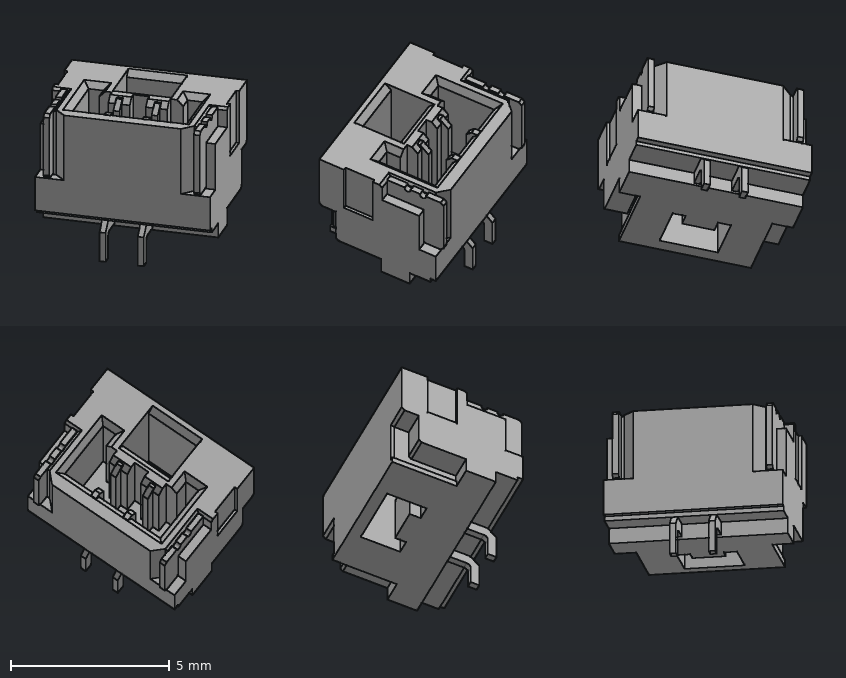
import cadquery as cq
import math


width = 5.75
depth = 4.25
height = 4.04
half_width = width / 2
edge_chamfer = 0.105
rim_chamfer = 0.2

lip_depth = 0.195
lip_bottom = 0.65
contact_recess_depth = 0.955
contact_recess_top = 0.5
foot_back = 1.995
flank_bottom = 0.585
flank_back = 3.645
flank_corner = 0.09
overhang_bottom = 1.9
core_half_width = 2.13
core_corner_width = 0.05
core_base_half_width = 2.185
core_base_height = 0.24

cavity_half_width = 2.07
cavity_front = 0.41
cavity_back = 2.845
cavity_floor = 1.0
divider_half_width = 1.18
divider_front = 2.15

window_half_width = 0.965
window_front = 2.26
window_back = 4.065
window_back_chamfer = 0.225
catch_half_width = 0.535
catch_back = 2.845
catch_top = overhang_bottom

contact_pitch = 1.255
contact_width = 0.2
post_inner = 0.265
post_front = 1.76
blade_front = 1.5
blade_back = 1.915
blade_ridge = 1.81
blade_drop = 0.29
prong_back = 0.85
prong_ridge = 0.66
prong_sink = 0.03
metal_front = -0.105
leg_thickness = 0.305
leg_bend_chamfer = 0.305
leg_bend_radius = 0.155
leg_underside = 0.085
leg_tip = -0.805

pocket_inner = 2.37
pocket_back = 1.955
pocket_floor = 1.8
pocket_lead_in_depth = 0.08
pocket_front_wall = 0.345
guard_front = 0.61
guard_top = 3.38
corner_inset = 1.92
plate_thickness = 0.2
plate_bottom = 1.845
notch_radius = 0.105
notch_sink = 0.03
notch_places = (1.21, 0.65)

side_recess_front = 2.3
side_recess_back = 3.345
side_recess_bottom = 2.255
side_recess_depth = 0.105


def box(x_range, y_range, z_range):
    """Axis-aligned block between the given limits."""
    spans = [high - low for low, high in (x_range, y_range, z_range)]
    corner = (x_range[0], y_range[0], z_range[0])
    return cq.Workplane("XY").box(*spans, centered=False).translate(corner)


def side_profile(points, x_middle, thickness):
    """Closed Y-Z outline extruded along X, centred on x_middle."""
    outline = cq.Workplane("YZ").polyline(points).close()
    return outline.extrude(thickness / 2, both=True).translate((x_middle, 0, 0))


def lead_in(x_range, y_range, slope_width, slope_depth):
    """Recess in the top face with sloping sides; the ranges give its outline at the top."""
    x_span = x_range[1] - x_range[0]
    y_span = y_range[1] - y_range[0]
    middle = (sum(x_range) / 2, sum(y_range) / 2, height)
    slope = math.degrees(math.atan2(slope_width, slope_depth))
    return cq.Workplane("XY").rect(x_span, y_span).extrude(-slope_depth, taper=slope).translate(middle)


def both_sides(solid):
    """The solid together with its mirror image across X = 0."""
    return solid.union(solid.mirror("YZ"))


def make_housing():
    shell = side_profile(
        [
            (0, height),
            (0, lip_bottom),
            (lip_depth, lip_bottom),
            (lip_depth, contact_recess_top),
            (contact_recess_depth, contact_recess_top),
            (contact_recess_depth, 0),
            (foot_back, 0),
            (foot_back, flank_bottom),
            (flank_back - flank_corner, flank_bottom),
            (flank_back, flank_bottom + flank_corner),
            (flank_back, overhang_bottom),
            (depth - edge_chamfer, overhang_bottom),
            (depth, overhang_bottom + edge_chamfer),
            (depth, height),
        ],
        0,
        width,
    )
    core_y = (foot_back, depth)
    base = box((-core_base_half_width, core_base_half_width), core_y, (0, core_base_height))
    corner_start = depth - edge_chamfer
    rear_half_width = core_half_width - core_corner_width
    core = (
        cq.Workplane("XY")
        .polyline(
            [
                (-core_half_width, foot_back),
                (core_half_width, foot_back),
                (core_half_width, corner_start),
                (rear_half_width, depth),
                (-rear_half_width, depth),
                (-core_half_width, corner_start),
            ]
        )
        .close()
        .extrude(overhang_bottom + edge_chamfer)
    )
    return shell.union(base).union(core)


def make_cavity():
    """Rectangular cavity with a lead-in, less the divider between its two rear arms."""
    mouth = lead_in(
        (-cavity_half_width, cavity_half_width),
        (cavity_front, cavity_back),
        rim_chamfer,
        rim_chamfer,
    )
    inner_half_width = cavity_half_width - rim_chamfer
    shaft = box(
        (-inner_half_width, inner_half_width),
        (cavity_front + rim_chamfer, cavity_back - rim_chamfer),
        (cavity_floor, height),
    )
    divider_base = divider_half_width + rim_chamfer
    divider_shoulder = height - rim_chamfer
    divider = (
        cq.Workplane("XZ")
        .polyline(
            [
                (-divider_half_width, height),
                (-divider_base, divider_shoulder),
                (-divider_base, cavity_floor),
                (divider_base, cavity_floor),
                (divider_base, divider_shoulder),
                (divider_half_width, height),
            ]
        )
        .close()
        .extrude(divider_front - cavity_back)
        .translate((0, divider_front, 0))
    )
    return mouth.union(shaft).cut(divider)


def make_window():
    throat_front = window_front + rim_chamfer
    throat_back = window_back - window_back_chamfer
    return side_profile(
        [
            (window_front, height),
            (throat_front, height - rim_chamfer),
            (throat_front, 0),
            (throat_back, 0),
            (throat_back, height - rim_chamfer),
            (window_back, height),
        ],
        0,
        2 * window_half_width,
    )


def make_catch():
    return box(
        (-catch_half_width, catch_half_width),
        (window_front, catch_back),
        (0, catch_top),
    )


def make_side_pocket():
    """Left pocket: L-shaped side opening, chamfered shroud corner and top lead-in."""
    pocket_x = (-half_width, -pocket_inner)
    upper = box(pocket_x, (0, pocket_back), (guard_top, height))
    front = box(pocket_x, (0, guard_front), (pocket_floor, height))
    shroud_side = pocket_inner - edge_chamfer
    corner = (
        cq.Workplane("XY")
        .workplane(offset=pocket_floor)
        .polyline(
            [
                (-pocket_inner, pocket_front_wall),
                (-shroud_side, pocket_front_wall),
                (-corner_inset, 0),
                (-pocket_inner, 0),
            ]
        )
        .close()
        .extrude(height - pocket_floor)
    )
    mouth = lead_in(
        (-half_width - 2 * edge_chamfer, -shroud_side),
        (0, pocket_back + edge_chamfer),
        edge_chamfer,
        pocket_lead_in_depth,
    )
    return upper.union(front).union(corner).union(mouth)


def make_side_recess():
    return box(
        (-half_width, -half_width + side_recess_depth),
        (side_recess_front, side_recess_back),
        (side_recess_bottom, height),
    )


def make_solder_plate():
    plate = box(
        (-pocket_inner - plate_thickness, -pocket_inner),
        (metal_front, pocket_back),
        (plate_bottom, height),
    )
    plate = plate.edges("|X and <Y").chamfer(edge_chamfer)
    for place in notch_places:
        notch = cq.Workplane("YZ").center(place, height - notch_sink).circle(notch_radius)
        plate = plate.cut(notch.extrude(-half_width))
    return plate


def make_post():
    return side_profile(
        [
            (divider_front, cavity_floor),
            (divider_front, height),
            (post_front + rim_chamfer, height),
            (post_front, height - rim_chamfer),
            (post_front, cavity_floor),
        ],
        -(post_inner + window_half_width) / 2,
        window_half_width - post_inner,
    )


def make_contact():
    x_middle = -contact_pitch / 2
    blade_top = height - (post_front + rim_chamfer - blade_back)
    blade = side_profile(
        [
            (blade_back, cavity_floor),
            (blade_back, blade_top),
            (blade_ridge, blade_top),
            (blade_front, blade_top - blade_drop),
            (blade_front, cavity_floor),
        ],
        x_middle,
        contact_width,
    )
    prong_top = height - prong_sink
    prong = side_profile(
        [
            (cavity_front, cavity_floor),
            (cavity_front, prong_top),
            (prong_ridge, prong_top),
            (prong_back, prong_top - (prong_back - prong_ridge)),
            (prong_back, cavity_floor),
        ],
        x_middle,
        contact_width,
    )
    leg_back = metal_front + leg_thickness
    leg = side_profile(
        [
            (contact_recess_depth, contact_recess_top),
            (metal_front + leg_bend_chamfer, contact_recess_top),
            (metal_front, contact_recess_top - leg_bend_chamfer),
            (metal_front, leg_tip),
            (leg_back, leg_tip),
            (leg_back, leg_underside),
            (contact_recess_depth, leg_underside),
        ],
        x_middle,
        contact_width,
    )
    inner_bend = cq.selectors.NearestToPointSelector((x_middle, leg_back, leg_underside))
    leg = leg.edges(inner_bend).fillet(leg_bend_radius)
    return blade.union(prong).union(leg)


result = (
    make_housing()
    .cut(make_cavity())
    .cut(make_window())
    .cut(both_sides(make_side_pocket()))
    .cut(both_sides(make_side_recess()))
    .union(make_catch())
    .union(both_sides(make_post()))
    .union(both_sides(make_contact()))
    .union(both_sides(make_solder_plate()))
)